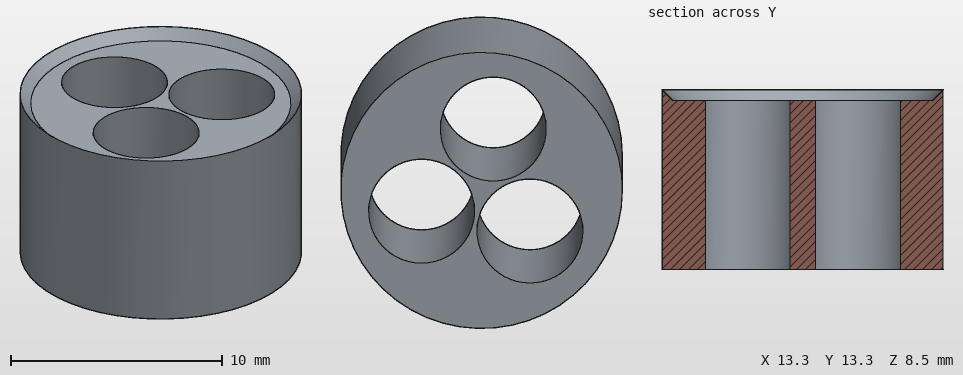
import cadquery as cq

body_diameter = 13.3
body_height = 8.5

dish_depth = 0.5
floor_diameter = body_diameter - 2 * dish_depth

hole_count = 3
hole_diameter = 5.0
hole_circle_radius = 3.0
first_hole_angle = 90.0


def make_body():
    return cq.Workplane("XY").circle(body_diameter / 2).extrude(body_height)


def make_dish():
    floor_height = body_height - dish_depth
    return (
        cq.Workplane("XY", origin=(0, 0, floor_height))
        .circle(floor_diameter / 2)
        .workplane(offset=dish_depth)
        .circle(body_diameter / 2)
        .loft(ruled=True)
    )


def make_holes():
    return (
        cq.Workplane("XY")
        .polarArray(hole_circle_radius, first_hole_angle, 360, hole_count)
        .circle(hole_diameter / 2)
        .extrude(body_height)
    )


result = make_body().cut(make_dish()).cut(make_holes())